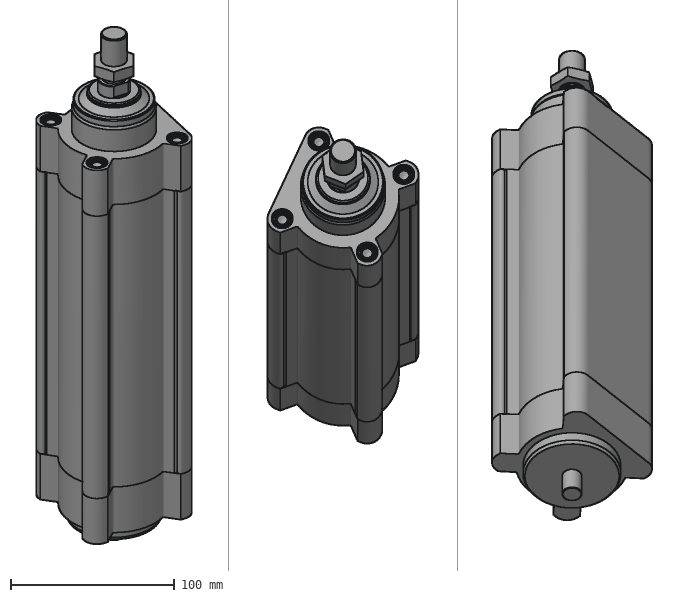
import cadquery as cq
import math

width = 75.0
half_width = width / 2
lobe_radius = 9.0
lobe_center = half_width - lobe_radius
body_radius = 68.7 / 2

wedge_apex = 11.5
root_fillet = 1.0

step_inner = 23.0
step_outer = 24.7
lip_fillet = 2.0

rear_cap_bottom = 23.5
cap_height = 33.0
barrel_bottom = rear_cap_bottom + cap_height
barrel_top = 261.0
front_cap_top = barrel_top + cap_height
total_height = 363.5

boss_radius = 60.0 / 2
boss_bottom = 15.3
boss_chamfer_width = 1.0
boss_chamfer_height = 2.0
shaft_radius = 12.0 / 2
shaft_chamfer = 0.5

collar_radius = 52.0 / 2
collar_top = 309.7
rim_radius = 50.0 / 2
rim_bottom = 311.5
rim_top = 316.2
rim_chamfer = 0.7
cone_base_radius = 43.3 / 2
cone_top_radius = 33.5 / 2
cone_top = 320.0
wiper_radius = 32.7 / 2
wiper_bottom = 320.5
wiper_top = 322.5
wiper_chamfer_width = 1.0
wiper_chamfer_height = 0.7

recess_radius = 13.0 / 2
recess_floor_radius = 12.0 / 2
ledge_radius = 10.0 / 2
recess_step = 0.5
socket_mouth_radius = 8.0 / 2
socket_radius = 6.5 / 2
socket_chamfer = socket_mouth_radius - socket_radius
socket_depth = 1.0
drill_tip_height = socket_radius / math.sqrt(3)

rod_radius = 20.0 / 2
rod_top = 331.0
rod_chamfer = 0.5
rod_flats_width = 17.0
rod_flats_bottom = 323.0
undercut_radius = 14.5 / 2
undercut_top = 334.5
thread_radius = 16.0 / 2
thread_chamfer = thread_radius - undercut_radius
tip_chamfer = 0.7

nut_flats_width = 24.0
nut_bottom = 336.2
nut_height = 8.0
nut_face_radius = nut_flats_width / 2
nut_chamfer_height = 0.5


def revolved(points):
    """Solid of revolution about Z from (radius, height) points."""
    return cq.Workplane("XZ").polyline(points).close().revolve(360, (0, 0), (0, 1))


def prism_with_side_recesses(wedge_points, bottom, top):
    """Square prism with round corners, cut by a wedge on -Y, -X and +X down to the round body."""
    height = top - bottom
    prism = (
        cq.Workplane("XY")
        .workplane(offset=bottom)
        .rect(width, width)
        .extrude(height)
        .edges("|Z")
        .fillet(lobe_radius)
    )
    round_body = cq.Workplane("XY").workplane(offset=bottom).circle(body_radius).extrude(height)
    wedge = cq.Workplane("XY").workplane(offset=bottom).polyline(wedge_points).close().extrude(height)
    recess = wedge.cut(round_body)
    for angle in (-90, 0, 90):
        prism = prism.cut(recess.rotate((0, 0, 0), (0, 0, 1), angle))
    return prism


def vertical_edges_at(solid, positions):
    """The vertical edges of a solid that stand at the given (x, y) positions."""
    tolerance = 0.05

    def stands_at_position(edge):
        middle = edge.Center()
        return any(math.dist((middle.x, middle.y), place) < tolerance for place in positions)

    return solid.edges("|Z").filter(stands_at_position)


def around_three_sides(x, y):
    """Mirror a point of the -Y side in X and repeat it on the -X and +X sides."""
    return [place for px in (x, -x) for place in ((px, y), (y, px), (-y, px))]


root_x = (math.sqrt(2 * body_radius**2 - wedge_apex**2) - wedge_apex) / 2
root_positions = around_three_sides(root_x, -root_x - wedge_apex)


def cap_block(bottom):
    """Plain block of an end cap with filleted recess roots."""
    reach = half_width - wedge_apex
    wedge = [(0, -wedge_apex), (reach, -half_width), (-reach, -half_width)]
    block = prism_with_side_recesses(wedge, bottom, bottom + cap_height)
    return vertical_edges_at(block, root_positions).fillet(root_fillet)


def screw_recess():
    """Cutter for one corner: stepped recess, then a chamfered socket with a drill-point end."""
    recess_floor = -2 * recess_step
    socket_bottom = recess_floor - socket_depth
    return revolved([
        (0, 0),
        (recess_radius, 0),
        (recess_floor_radius, -recess_step),
        (ledge_radius, -recess_step),
        (ledge_radius, recess_floor),
        (socket_mouth_radius, recess_floor),
        (socket_radius, recess_floor - socket_chamfer),
        (socket_radius, socket_bottom),
        (0, socket_bottom - drill_tip_height),
    ])


def make_front_cap():
    collar = revolved([
        (0, barrel_top),
        (collar_radius, barrel_top),
        (collar_radius, collar_top),
        (rim_radius, rim_bottom),
        (rim_radius, rim_top - rim_chamfer),
        (rim_radius - rim_chamfer, rim_top),
        (cone_base_radius, rim_top),
        (cone_top_radius, cone_top),
        (wiper_radius, wiper_bottom),
        (wiper_radius, wiper_top - wiper_chamfer_height),
        (wiper_radius - wiper_chamfer_width, wiper_top),
        (0, wiper_top),
    ])
    cap = cap_block(barrel_top).union(collar)
    for x in (-lobe_center, lobe_center):
        for y in (-lobe_center, lobe_center):
            cap = cap.cut(screw_recess().translate((x, y, front_cap_top)))
    rod_bore = (
        cq.Workplane("XY")
        .workplane(offset=barrel_top)
        .circle(rod_radius)
        .extrude(wiper_top - barrel_top)
    )
    return cap.cut(rod_bore)


def make_barrel():
    step_y = -step_inner - wedge_apex
    wedge = [
        (0, -wedge_apex),
        (step_inner, step_y),
        (step_outer, step_y),
        (step_outer, -half_width),
        (-step_outer, -half_width),
        (-step_outer, step_y),
        (-step_inner, step_y),
    ]
    barrel = prism_with_side_recesses(wedge, barrel_bottom, barrel_top)
    barrel = vertical_edges_at(barrel, root_positions).fillet(root_fillet)
    lip_positions = around_three_sides(step_outer, -half_width)
    return vertical_edges_at(barrel, lip_positions).fillet(lip_fillet)


def make_rear_cap():
    boss_and_shaft = revolved([
        (0, 0),
        (shaft_radius - shaft_chamfer, 0),
        (shaft_radius, shaft_chamfer),
        (shaft_radius, boss_bottom),
        (boss_radius - boss_chamfer_width, boss_bottom),
        (boss_radius, boss_bottom + boss_chamfer_height),
        (boss_radius, rear_cap_bottom),
        (0, rear_cap_bottom),
    ])
    return cap_block(rear_cap_bottom).union(boss_and_shaft)


def make_rod():
    rod = revolved([
        (0, barrel_top),
        (rod_radius, barrel_top),
        (rod_radius, rod_top - rod_chamfer),
        (rod_radius - rod_chamfer, rod_top),
        (undercut_radius, rod_top),
        (undercut_radius, undercut_top),
        (thread_radius, undercut_top + thread_chamfer),
        (thread_radius, total_height - tip_chamfer),
        (thread_radius - tip_chamfer, total_height),
        (0, total_height),
    ])
    flats_height = rod_top - rod_flats_bottom
    flats = (
        cq.Workplane("XY")
        .workplane(offset=rod_flats_bottom)
        .rect(4 * rod_radius, 4 * rod_radius)
        .rect(rod_flats_width, 4 * rod_radius)
        .extrude(flats_height)
    )
    return rod.cut(flats)


def make_nut():
    corner_radius = nut_face_radius / math.cos(math.pi / 6)
    nut_top = nut_bottom + nut_height
    hexagon = (
        cq.Workplane("XY")
        .workplane(offset=nut_bottom)
        .transformed(rotate=(0, 0, 90))
        .polygon(6, 2 * corner_radius)
        .extrude(nut_height)
    )
    chamfered_ring = revolved([
        (thread_radius, nut_bottom),
        (nut_face_radius, nut_bottom),
        (corner_radius, nut_bottom + nut_chamfer_height),
        (corner_radius, nut_top - nut_chamfer_height),
        (nut_face_radius, nut_top),
        (thread_radius, nut_top),
    ])
    return hexagon.intersect(chamfered_ring)


front_cap = make_front_cap()
barrel = make_barrel()
rear_cap = make_rear_cap()
rod = make_rod()
nut = make_nut()

result = cq.Compound.makeCompound([
    front_cap.val(),
    barrel.val(),
    rear_cap.val(),
    rod.val(),
    nut.val(),
])